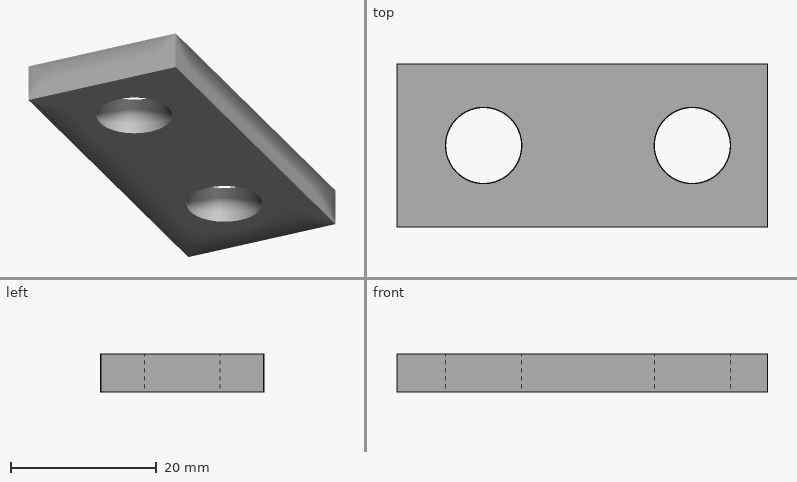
import cadquery as cq

length = 50.8
width = 22.35
thickness = 5.25

hole_diameter = 10.4
hole_spacing = 28.6
first_hole_from_end = 11.9

first_hole_x = first_hole_from_end - length / 2
hole_centers = [(first_hole_x, 0), (first_hole_x + hole_spacing, 0)]

plate = cq.Workplane("XY").box(length, width, thickness)
result = plate.faces(">Z").workplane().pushPoints(hole_centers).hole(hole_diameter)